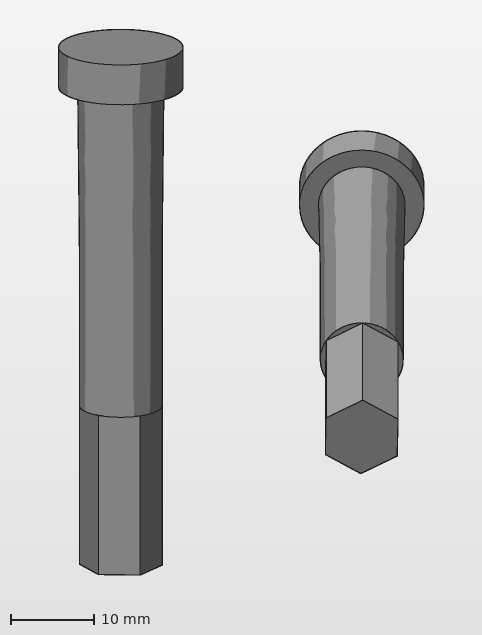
import cadquery as cq
import math

HEAD_DIAMETER = 15.0
HEAD_HEIGHT = 5.0
SECTION_LENGTH = 20.0
SHANK_DIAMETER = 10.0
TAPER_HALF_ANGLE = 0.6
HEX_SIDES = 6
HEX_ROTATION = 21.92

HEX_TOP = SECTION_LENGTH
CYLINDER_TOP = HEX_TOP + SECTION_LENGTH
TAPER_TOP = CYLINDER_TOP + SECTION_LENGTH
HEAD_TOP = TAPER_TOP + HEAD_HEIGHT

HEAD_RADIUS = HEAD_DIAMETER / 2
SHANK_RADIUS = SHANK_DIAMETER / 2
TAPER_TOP_RADIUS = SHANK_RADIUS + SECTION_LENGTH * math.tan(math.radians(TAPER_HALF_ANGLE))


def make_round_body():
    """Cylindrical shank, cone widening towards the head, and flat round head, revolved about Z."""
    profile = [
        (0, HEX_TOP),
        (SHANK_RADIUS, HEX_TOP),
        (SHANK_RADIUS, CYLINDER_TOP),
        (TAPER_TOP_RADIUS, TAPER_TOP),
        (HEAD_RADIUS, TAPER_TOP),
        (HEAD_RADIUS, HEAD_TOP),
        (0, HEAD_TOP),
    ]
    return cq.Workplane("XZ").polyline(profile).close().revolve(360, (0, 0, 0), (0, 1, 0))


def make_hexagonal_end():
    """Hexagonal end whose corners lie on the shank cylinder."""
    prism = cq.Workplane("XY").polygon(HEX_SIDES, SHANK_DIAMETER).extrude(HEX_TOP)
    return prism.rotate((0, 0, 0), (0, 0, 1), HEX_ROTATION)


result = make_round_body().union(make_hexagonal_end())